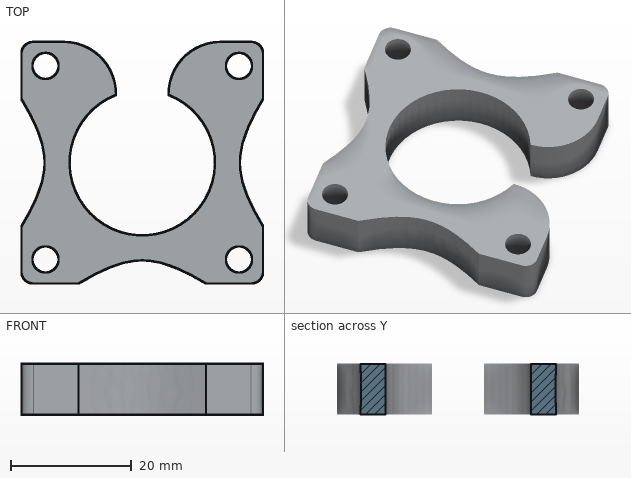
import cadquery as cq

side = 40.0
thickness = 8.5
corner_radius = 2.0
hole_diameter = 4.3
hole_spacing = 32.0
bore_diameter = 24.0
slot_width = 8.65
jaw_radius = 8.7
scallop_width = 21.1
scallop_depth = 3.85
scallop_handle_spacing = 4.25

half_side = side / 2


def cylinder(x, y, radius):
    """Upright cylinder through the full thickness."""
    return cq.Workplane("XY").center(x, y).circle(radius).extrude(thickness)


def slot_opening():
    """Slot from the bore to the +Y side, flaring outward around the rounded jaws."""
    half_slot = slot_width / 2
    jaw_center_x = half_slot + jaw_radius
    jaw_center_y = half_side - jaw_radius
    opening = (
        cq.Workplane("XY")
        .moveTo(-half_slot, 0)
        .lineTo(half_slot, 0)
        .lineTo(half_slot, jaw_center_y)
        .lineTo(jaw_center_x, jaw_center_y)
        .lineTo(jaw_center_x, half_side)
        .lineTo(-jaw_center_x, half_side)
        .lineTo(-jaw_center_x, jaw_center_y)
        .lineTo(-half_slot, jaw_center_y)
        .close()
        .extrude(thickness)
    )
    for sign in (-1, 1):
        opening = opening.cut(cylinder(sign * jaw_center_x, jaw_center_y, jaw_radius))
    return opening


def scallop():
    """Smooth hollow in the -Y side, flattening out toward its two ends."""
    half_width = scallop_width / 2
    handle_x = scallop_handle_spacing / 2
    handle_y = scallop_depth * 4 / 3 - half_side
    return (
        cq.Workplane("XY")
        .moveTo(-half_width, -half_side)
        .bezier(
            [(-handle_x, handle_y), (handle_x, handle_y), (half_width, -half_side)],
            includeCurrent=True,
        )
        .close()
        .extrude(thickness)
    )


result = cq.Workplane("XY").box(side, side, thickness, centered=(True, True, False))
result = result.edges("|Z").fillet(corner_radius)

result = result.cut(cylinder(0, 0, bore_diameter / 2))
result = result.cut(slot_opening())

for turn in (-90, 0, 90):
    result = result.cut(scallop().rotate((0, 0, 0), (0, 0, 1), turn))

result = (
    result.faces(">Z")
    .workplane(origin=(0, 0, thickness))
    .rarray(hole_spacing, hole_spacing, 2, 2)
    .hole(hole_diameter)
)